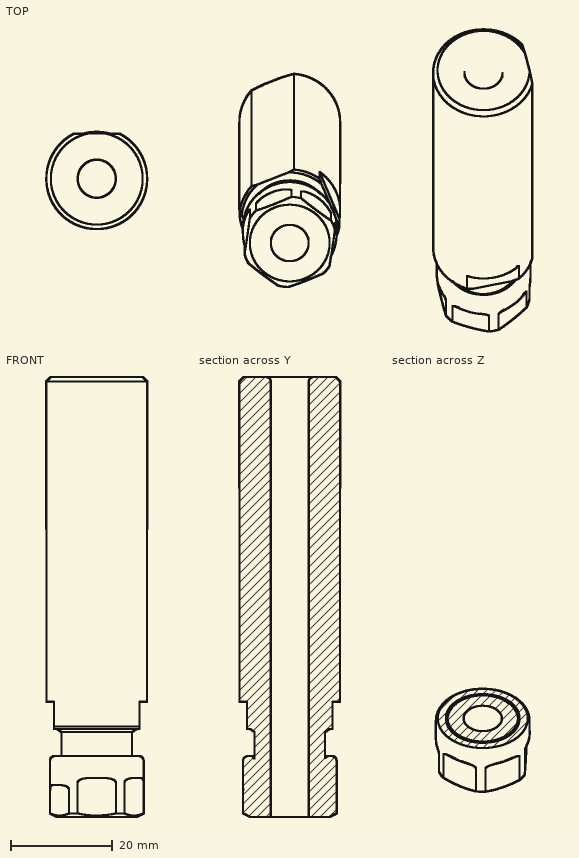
import cadquery as cq
import math


total_height = 87.1
nut_height = 12.1
shank_bottom = 17.4
wrench_flat_height = 5.4

shank_radius = 10.0
shank_top_chamfer = 0.9
shank_bottom_chamfer = 0.5
clamp_flat_distance = 8.9
wrench_flat_distance = 8.5

neck_radius = 7.0
neck_cone_height = 0.6
neck_cone_width = 0.9

nut_radius = 9.3
nut_top_fillet = 1.0
nut_bottom_chamfer_height = 0.7
nut_bottom_chamfer_width = 1.4
nut_mouth_chamfer = 0.5
hex_flat_distance = 8.5
hex_sides = 6
first_hex_angle = -90
low_flat_height = 5.4
high_flat_height = 6.8
flat_run_out_radius = 1.0
high_flat_count = 3

bore_radius = 3.75
bore_mouth_radius = 1.0

cut_margin = 5.0


def flat_cutter(distance, bottom, top, angle):
    """Block that removes everything farther than distance from the axis in one direction."""
    block = cq.Workplane("XY").box(
        cut_margin, 2 * shank_radius, top - bottom, centered=(False, True, False)
    )
    return block.translate((distance, 0, bottom)).rotate((0, 0, 0), (0, 0, 1), angle)


def make_shank():
    """Chamfered cylinder with a full-length clamping flat and two opposite wrench flats."""
    shank = cq.Workplane("XY").workplane(offset=shank_bottom).circle(shank_radius)
    shank = shank.extrude(total_height - shank_bottom)
    shank = shank.faces(">Z").chamfer(shank_top_chamfer)
    shank = shank.faces("<Z").chamfer(shank_bottom_chamfer)
    shank = shank.cut(flat_cutter(clamp_flat_distance, shank_bottom, total_height, 90))
    wrench_flat_top = shank_bottom + wrench_flat_height
    for angle in (0, 180):
        shank = shank.cut(flat_cutter(wrench_flat_distance, shank_bottom, wrench_flat_top, angle))
    return shank


def make_neck():
    """Cylinder joining nut and shank, flaring into a short cone under the shank."""
    cone_bottom = shank_bottom - neck_cone_height
    profile = [
        (0, 0),
        (neck_radius, 0),
        (neck_radius, cone_bottom),
        (neck_radius + neck_cone_width, shank_bottom),
        (0, shank_bottom),
    ]
    return cq.Workplane("XZ").polyline(profile).close().revolve(360, (0, 0), (0, 1))


def hex_flat_cutter(height, angle):
    """Cutter for one wrench flat of the nut, ending in a concave quarter-round run-out."""
    radius = flat_run_out_radius
    arc_center_x = hex_flat_distance + radius
    outer_x = nut_radius + cut_margin
    arc_offset = radius * math.sqrt(0.5)
    cutter = (
        cq.Workplane("XZ")
        .moveTo(hex_flat_distance, 0)
        .lineTo(hex_flat_distance, height)
        .threePointArc(
            (arc_center_x - arc_offset, height + arc_offset),
            (arc_center_x, height + radius),
        )
        .lineTo(outer_x, height + radius)
        .lineTo(outer_x, 0)
        .close()
        .extrude(nut_radius, both=True)
    )
    return cutter.rotate((0, 0, 0), (0, 0, 1), angle)


def nut_mouth_cutter():
    """Ring that bevels the top face of the nut down towards the neck."""
    profile = [
        (neck_radius, nut_height),
        (neck_radius, nut_height - nut_mouth_chamfer),
        (neck_radius + nut_mouth_chamfer, nut_height),
    ]
    return cq.Workplane("XZ").polyline(profile).close().revolve(360, (0, 0), (0, 1))


def make_nut():
    """Round nut with six wrench flats, three of them reaching higher than the others."""
    nut = cq.Workplane("XY").circle(nut_radius).extrude(nut_height)
    nut = nut.faces(">Z").edges().fillet(nut_top_fillet)
    nut = nut.faces("<Z").edges().chamfer(nut_bottom_chamfer_height, nut_bottom_chamfer_width)
    for i in range(hex_sides):
        height = high_flat_height if i < high_flat_count else low_flat_height
        nut = nut.cut(hex_flat_cutter(height, first_hex_angle + i * 360 / hex_sides))
    return nut


def make_bore():
    """Through bore widening to a rounded mouth at the top."""
    arc_offset = bore_mouth_radius * (1 - math.sqrt(0.5))
    mouth_bottom = total_height - bore_mouth_radius
    profile = (
        cq.Workplane("XZ")
        .lineTo(bore_radius, 0)
        .lineTo(bore_radius, mouth_bottom)
        .threePointArc(
            (bore_radius + arc_offset, total_height - arc_offset),
            (bore_radius + bore_mouth_radius, total_height),
        )
        .lineTo(0, total_height)
        .close()
    )
    return profile.revolve(360, (0, 0), (0, 1))


body = make_shank().union(make_neck()).union(make_nut())
result = body.cut(nut_mouth_cutter()).cut(make_bore())